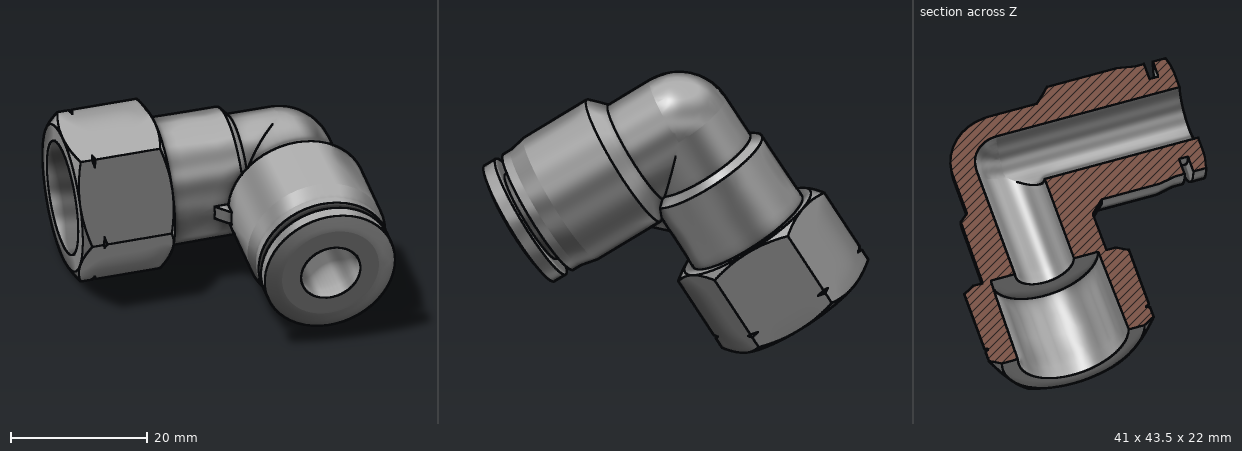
import cadquery as cq
import math

elbow_radius = 8.18
passage_radius = 4.52

shoulder_start = 7.3
body_radius = 10.5
body_start = shoulder_start + body_radius - elbow_radius
body_end = 20.45
lip_radius = 9.95
lip_start = 23.0
neck_start = 24.45
neck_radius = 7.25
ring_start = 25.75
ring_edge = 27.75
ring_face_radius = 7.4
arm_end = 28.25
ring_crown_x = 28.05
ring_crown_radius = 8.8

collar_radius = 9.5
collar_base_radius = 9.55
collar_cone_start = 6.8
collar_start = 7.9
nut_start = 18.92
nut_end = 33.0
nut_across_flats = 22.0
nut_flat_radius = nut_across_flats / 2
nut_corner_radius = nut_flat_radius / math.cos(math.radians(30))
nut_bevel_drop = (nut_corner_radius - nut_flat_radius) * math.tan(math.radians(30))

nick_position = 30.0
nick_root_radius = 12.2
nick_half_width = 0.25

socket_mouth_radius = 8.53
socket_floor_radius = 8.25
socket_depth = nut_end - nut_start

rib_thickness = 2.18
rib_reach = 21.95


def revolve_x(profile):
    """Revolve an XY profile about the X axis."""
    return profile.close().revolve(360, (0, 0, 0), (1, 0, 0))


def revolve_y(points):
    """Revolve (radius, distance along -Y) points about the Y axis."""
    outline = [(radius, -distance) for radius, distance in points]
    return cq.Workplane("XY").polyline(outline).close().revolve(360, (0, 0, 0), (0, 1, 0))


def tube_arm():
    profile = (
        cq.Workplane("XY")
        .polyline([
            (0, 0),
            (0, elbow_radius),
            (shoulder_start, elbow_radius),
            (body_start, body_radius),
            (body_end, body_radius),
            (lip_start, lip_radius),
            (neck_start, lip_radius),
            (neck_start, neck_radius),
            (ring_start, neck_radius),
            (ring_start, lip_radius),
            (ring_edge, lip_radius),
        ])
        .threePointArc((ring_crown_x, ring_crown_radius), (arm_end, ring_face_radius))
        .lineTo(arm_end, 0)
    )
    return revolve_x(profile)


def collar():
    return revolve_y([
        (0, 0),
        (elbow_radius, 0),
        (elbow_radius, collar_cone_start),
        (collar_radius, collar_start),
        (collar_base_radius, nut_start),
        (0, nut_start),
    ])


def nut():
    prism = (
        cq.Workplane("XZ", origin=(0, -nut_start, 0))
        .polygon(6, 2 * nut_corner_radius)
        .extrude(nut_end - nut_start)
    )
    envelope = revolve_y([
        (0, nut_start),
        (nut_flat_radius, nut_start),
        (nut_corner_radius, nut_start + nut_bevel_drop),
        (nut_corner_radius, nick_position - nick_half_width),
        (nick_root_radius, nick_position),
        (nut_corner_radius, nick_position + nick_half_width),
        (nut_corner_radius, nut_end - nut_bevel_drop),
        (nut_flat_radius, nut_end),
        (0, nut_end),
    ])
    return prism.intersect(envelope)


def corner_rib():
    return (
        cq.Workplane("XY")
        .polyline([(0, 0), (rib_reach, 0), (0, -rib_reach)])
        .close()
        .extrude(rib_thickness / 2, both=True)
    )


def passage():
    """Bent passage with a spherical corner, opening into the nut socket."""
    corner = cq.Workplane("XY").sphere(passage_radius)
    along_x = cq.Workplane("YZ").circle(passage_radius).extrude(arm_end)
    along_y = cq.Workplane("XZ").circle(passage_radius).extrude(nut_end)
    socket = revolve_y([
        (0, nut_end - socket_depth),
        (socket_floor_radius, nut_end - socket_depth),
        (socket_mouth_radius, nut_end),
        (0, nut_end),
    ])
    return corner.union(along_x).union(along_y).union(socket)


elbow = cq.Workplane("XY").sphere(elbow_radius)
outside = elbow.union(tube_arm()).union(collar()).union(nut()).union(corner_rib())
result = outside.cut(passage())